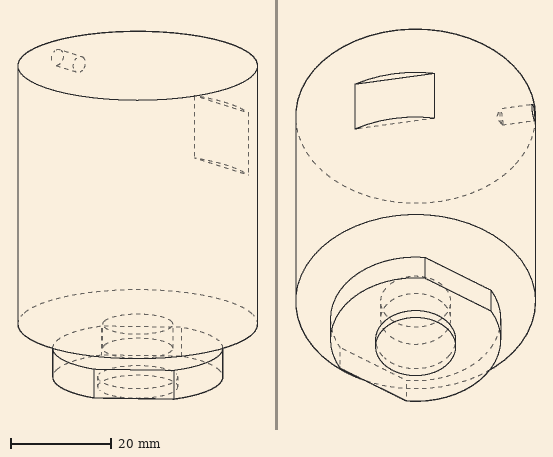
import cadquery as cq
import math

total_height = 67.0
body_diameter = 48.0
neck_diameter = 14.0
neck_height = 5.0
flange_diameter = 34.05
flange_thickness = 6.0
flange_flat_width = 30.0
flange_flat_angle = -45.0
pilot_diameter = 16.0
pilot_height = 2.0

flat_height = 13.0
flat_top_gap = 12.6
flat_depth = 1.4

drill_diameter = 3.3
drill_top_gap = 3.6
drill_depth = 6.55
drill_point_angle = 118.0

flange_bottom = pilot_height
neck_bottom = flange_bottom + flange_thickness
body_bottom = neck_bottom + neck_height
body_height = total_height - body_bottom
body_radius = body_diameter / 2


def disc(diameter, bottom, height):
    """Cylinder on the Z axis standing on the given level."""
    return cq.Workplane("XY").workplane(offset=bottom).circle(diameter / 2).extrude(height)


def flange():
    """Round flange with two parallel flats, turned about Z."""
    flats = (
        cq.Workplane("XY")
        .workplane(offset=flange_bottom)
        .rect(flange_flat_width, flange_diameter)
        .extrude(flange_thickness)
        .rotate((0, 0, 0), (0, 0, 1), flange_flat_angle)
    )
    return disc(flange_diameter, flange_bottom, flange_thickness).intersect(flats)


def side_flat():
    """Cutter for the flat recess across the +Y side of the body."""
    flat_bottom = total_height - flat_top_gap - flat_height
    return (
        cq.Workplane("XY")
        .box(body_diameter, flat_depth, flat_height, centered=(True, False, False))
        .translate((0, body_radius - flat_depth, flat_bottom))
    )


def drilled_hole():
    """Cutter for the drilled hole with a conical end on the -X side of the body."""
    radius = drill_diameter / 2
    point_depth = radius / math.tan(math.radians(drill_point_angle / 2))
    straight_end = -body_radius + drill_depth
    return (
        cq.Workplane("XZ")
        .moveTo(-body_radius, 0)
        .lineTo(-body_radius, radius)
        .lineTo(straight_end, radius)
        .lineTo(straight_end + point_depth, 0)
        .close()
        .revolve(axisStart=(0, 0, 0), axisEnd=(1, 0, 0))
        .translate((0, 0, total_height - drill_top_gap))
    )


result = (
    disc(body_diameter, body_bottom, body_height)
    .union(disc(neck_diameter, neck_bottom, neck_height))
    .union(flange())
    .union(disc(pilot_diameter, 0, pilot_height))
    .cut(side_flat())
    .cut(drilled_hole())
)